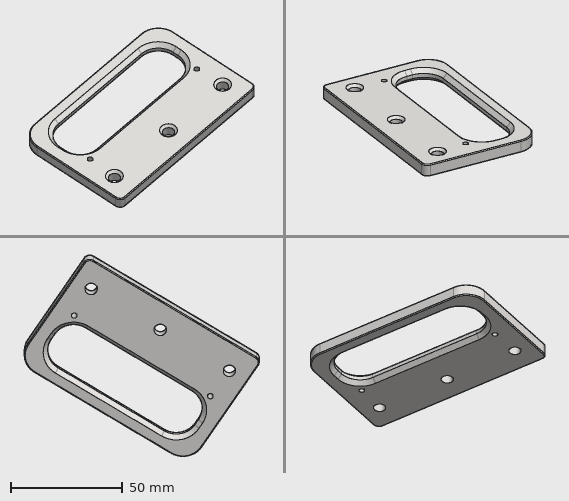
import cadquery as cq

width = 60.0
length = 92.7
thickness = 6.0
grip_corner_radius = 10.0
mount_corner_radius = 3.0
edge_chamfer = 0.5

opening_x = -11.5
opening_width = 23.0
opening_length = 76.6
opening_radius = 10.0
opening_chamfer = 2.0

mount_x = 17.9
mount_pitch = 36.8
mount_diameter = 5.5
countersink_diameter = 8.0
countersink_angle = 90.0

pin_x = 3.0
pin_offset = 36.2
pin_diameter = 2.5


def make_plate():
    """Rounded plate with chamfered top and bottom outlines."""
    plate = cq.Workplane("XY").box(width, length, thickness, centered=(True, True, False))
    plate = plate.edges("|Z and <X").fillet(grip_corner_radius)
    plate = plate.edges("|Z and >X").fillet(mount_corner_radius)
    return plate.faces("<Z or >Z").edges().chamfer(edge_chamfer)


def cut_opening(plate):
    """Cut the rounded hand opening and bevel its rim on both faces."""
    cutter = (
        cq.Workplane("XY")
        .center(opening_x, 0)
        .rect(opening_width, opening_length)
        .extrude(thickness)
        .edges("|Z")
        .fillet(opening_radius)
    )
    opened = plate.cut(cutter)
    rims = [face.innerWires()[0].Edges() for face in opened.faces("<Z or >Z").vals()]
    return opened.newObject(rims[0] + rims[1]).chamfer(opening_chamfer)


plate = cut_opening(make_plate())

mount_points = [(mount_x, row * mount_pitch) for row in (-1, 0, 1)]
plate = (
    plate.faces(">Z")
    .workplane(origin=(0, 0, thickness))
    .pushPoints(mount_points)
    .cskHole(mount_diameter, countersink_diameter, countersink_angle)
)

pin_points = [(pin_x, side * pin_offset) for side in (-1, 1)]
result = (
    plate.faces(">Z")
    .workplane(origin=(0, 0, thickness))
    .pushPoints(pin_points)
    .hole(pin_diameter)
)